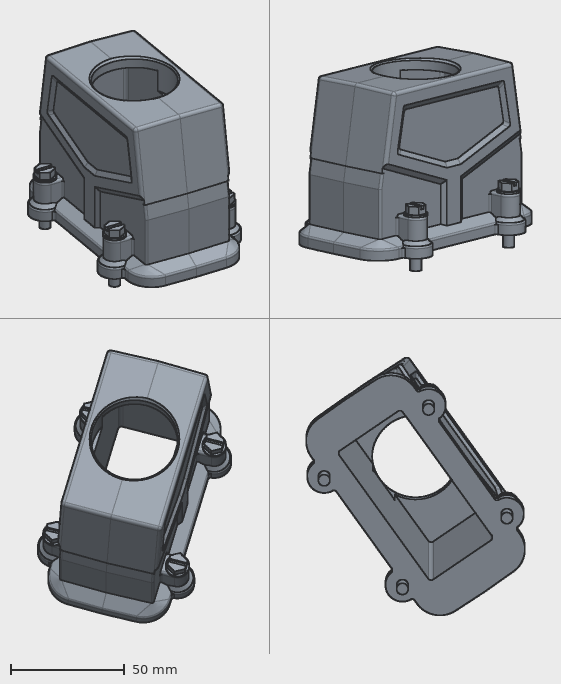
import cadquery as cq
import math

FLANGE_HALF_X = 53.2
FLANGE_HALF_Y = 27.6
OVERALL_HALF_Y = 35.52
RIDGE_Z = 74.7
END_BOW = 0.5
ROOF_FALL = 0.5

FLANGE_EDGE_Z = 5.5
FLANGE_TOP_Z = 8.7
FLANGE_CORNER_R = 12.2
FLANGE_EDGE_R = 1.1

HOOD_BASE_HALF_X = 46.6
HOOD_TOP_HALF_X = 39.1
KNEE_Z = 31.3
HOOD_HALF_Y = 23.0
HOOD_EDGE_R = 1.7
CORE_EDGE_R = 1.1

RELIEF_DEPTH = 1.5
RELIEF_FLANK = 2.5
RECESS_END_Z = 38.3
CORE_HALF_Y = HOOD_HALF_Y - RELIEF_DEPTH
RELIEF_TAPER = math.degrees(math.atan2(RELIEF_FLANK, RELIEF_DEPTH))
RIB_HALF_X = 4.5
RIB_TOP_Z = 28.5
RELIEF_OUTER_X = 55.4
RELIEF_BOTTOM_Z = -10.6
RELIEF_SLOPE = 0.366
POCKET_TOP_Z = 67.1
POCKET_TOP_HALF_X = 32.4
POCKET_WIDE_HALF_X = 36.6
POCKET_WIDE_Z = 45.9
POCKET_BOTTOM_Z = 34.1
POCKET_CORNER_R = 2.7

CAVITY_HALF_X = 35.7
CAVITY_HALF_Y = 17.0
CAVITY_TOP_Z = 69.2
CAVITY_CORNER_R = 1.6
ENTRY_R = 19.1
ENTRY_CHAMFER = 1.2
ENTRY_FLOOR_Z = 59.1

SCREW_X = 30.0
SCREW_Y = 28.0
LUG_R = OVERALL_HALF_Y - SCREW_Y
LUG_TOP_Z = 5.5
LUG_EDGE_R = 0.9
LUG_WALL_R = 1.1
CONE_BASE_R = 6.9
CONE_TOP_Z = 7.5
BOSS_R = 5.06
BOSS_TOP_Z = 18.1
BOSS_EDGE_R = 1.3
BOSS_WALL_R = 0.9
WASHER_R = 5.2
WASHER_TOP_Z = 19.0
HEAD_ACROSS_FLATS = 8.0
HEAD_TOP_Z = 22.7
SLOT_WIDTH = 1.5
SLOT_DEPTH = 1.4
SHANK_R = 2.6
SHANK_BOTTOM_Z = -6.8

SELECT_MARGIN = 0.1


def bowed_outline(half_x, half_y, corner_r=0):
    """Rectangle whose two ends come to a shallow point on the X axis."""
    corner_x = half_x - END_BOW
    points = [
        (half_x, 0),
        (corner_x, half_y),
        (-corner_x, half_y),
        (-half_x, 0),
        (-corner_x, -half_y),
        (corner_x, -half_y),
        (half_x, 0),
    ]
    outline = cq.Sketch().polygon(points)
    if corner_r:
        outline = outline.vertices(">Y or <Y").fillet(corner_r)
    return outline


def bowed_loft(lower, upper, z_low, z_high):
    raised = upper.moved(cq.Location(cq.Vector(0, 0, z_high - z_low)))
    return cq.Workplane().workplane(offset=z_low).placeSketch(lower, raised).loft(ruled=True)


def flange():
    """Slab with a rounded rim, topped by a slope that rises to the hood wall."""
    edge = bowed_outline(FLANGE_HALF_X, FLANGE_HALF_Y, FLANGE_CORNER_R)
    slab = cq.Workplane().placeSketch(edge).extrude(FLANGE_EDGE_Z)
    slab = slab.faces(">Z").edges().fillet(FLANGE_EDGE_R)

    slope_angle = math.atan2(FLANGE_TOP_Z - FLANGE_EDGE_Z, FLANGE_HALF_Y - CORE_HALF_Y)
    inset = FLANGE_EDGE_R * (1 - math.sin(slope_angle))
    foot_z = FLANGE_EDGE_Z - FLANGE_EDGE_R * (1 - math.cos(slope_angle))
    foot = bowed_outline(FLANGE_HALF_X - inset, FLANGE_HALF_Y - inset, FLANGE_CORNER_R - inset)
    crest = bowed_outline(HOOD_BASE_HALF_X, CORE_HALF_Y, CORE_EDGE_R)
    return slab.union(bowed_loft(foot, crest, foot_z, FLANGE_TOP_Z))


def hood_shell():
    """Upright lower part, leaning upper part and ridged roof, with rounded edges."""
    base = bowed_outline(HOOD_BASE_HALF_X, HOOD_HALF_Y)
    top = bowed_outline(HOOD_TOP_HALF_X, HOOD_HALF_Y)
    block = cq.Workplane().placeSketch(base).extrude(KNEE_Z)
    block = block.union(bowed_loft(base, top, KNEE_Z, RIDGE_Z))
    eave_z = RIDGE_Z - ROOF_FALL
    gable = [
        (-HOOD_HALF_Y, 0),
        (HOOD_HALF_Y, 0),
        (HOOD_HALF_Y, eave_z),
        (0, RIDGE_Z),
        (-HOOD_HALF_Y, eave_z),
    ]
    block = block.intersect(cq.Workplane("YZ").polyline(gable).close().extrude(FLANGE_HALF_X, both=True))
    roof_rim = cq.selectors.BoxSelector(
        (-FLANGE_HALF_X, -FLANGE_HALF_Y, eave_z - SELECT_MARGIN),
        (FLANGE_HALF_X, FLANGE_HALF_Y, RIDGE_Z - SELECT_MARGIN),
    )
    uprights = cq.selectors.StringSyntaxSelector("(>Y or <Y) and (not |X)")
    return block.edges(roof_rim + uprights).fillet(HOOD_EDGE_R)


def on_both_sides(cutter):
    return cutter.union(cutter.mirror("XZ"))


def side_recesses():
    """Sloped-flank recesses below the raised panel, either side of the centre rib."""
    shoulder_z = RIB_TOP_Z + RELIEF_SLOPE * (RELIEF_OUTER_X - RIB_HALF_X)
    right = [
        (RIB_HALF_X, RELIEF_BOTTOM_Z),
        (RELIEF_OUTER_X, RELIEF_BOTTOM_Z),
        (RELIEF_OUTER_X, shoulder_z),
        (RIB_HALF_X, RIB_TOP_Z),
    ]
    plane = cq.Workplane("XZ", origin=(0, -HOOD_HALF_Y, 0))
    recess = plane.polyline(right).close().extrude(-RELIEF_DEPTH, taper=RELIEF_TAPER)
    return on_both_sides(recess.union(recess.mirror("YZ")))


def panel_pockets():
    half = [
        (POCKET_TOP_HALF_X, POCKET_TOP_Z),
        (POCKET_WIDE_HALF_X, POCKET_WIDE_Z),
        (RIB_HALF_X, POCKET_BOTTOM_Z),
    ]
    points = half + [(-x, z) for x, z in reversed(half)]
    plane = cq.Workplane("XZ", origin=(0, -HOOD_HALF_Y, 0))
    pocket = plane.polyline(points).close().extrude(-RELIEF_DEPTH, taper=RELIEF_TAPER)
    flank_corners = cq.selectors.BoxSelector(
        (-FLANGE_HALF_X, -HOOD_HALF_Y + SELECT_MARGIN, POCKET_BOTTOM_Z + RELIEF_FLANK),
        (FLANGE_HALF_X, -CORE_HALF_Y - SELECT_MARGIN, POCKET_TOP_Z),
    )
    return on_both_sides(pocket.edges(flank_corners).fillet(POCKET_CORNER_R))


def recess_end_trim():
    """Waste outside the tighter corners that the hood has where the recesses run out."""
    base = bowed_outline(HOOD_BASE_HALF_X, CORE_HALF_Y)
    lean = (HOOD_BASE_HALF_X - HOOD_TOP_HALF_X) / (RIDGE_Z - KNEE_Z)
    top = bowed_outline(HOOD_BASE_HALF_X - lean * (RECESS_END_Z - KNEE_Z), CORE_HALF_Y)
    core = cq.Workplane().placeSketch(base).extrude(KNEE_Z)
    core = core.union(bowed_loft(base, top, KNEE_Z, RECESS_END_Z))
    core = core.edges("(>Y or <Y) and (not |X)").fillet(CORE_EDGE_R)
    surround = (
        cq.Workplane()
        .rect(2 * FLANGE_HALF_X, 2 * FLANGE_HALF_Y)
        .extrude(RECESS_END_Z)
        .cut(cq.Workplane().rect(2 * HOOD_TOP_HALF_X, 2 * FLANGE_HALF_Y).extrude(RECESS_END_Z))
    )
    return surround.cut(core)


def hood():
    return hood_shell().cut(side_recesses()).cut(recess_end_trim()).cut(panel_pockets())


def interior():
    cavity = (
        cq.Workplane()
        .rect(2 * CAVITY_HALF_X, 2 * CAVITY_HALF_Y)
        .extrude(CAVITY_TOP_Z)
        .edges("|Z")
        .fillet(CAVITY_CORNER_R)
    )
    entry = cq.Workplane().workplane(offset=ENTRY_FLOOR_Z).circle(ENTRY_R).extrude(RIDGE_Z - ENTRY_FLOOR_Z)
    mouth = (
        cq.Workplane()
        .workplane(offset=RIDGE_Z - ENTRY_CHAMFER)
        .circle(ENTRY_R)
        .workplane(offset=ENTRY_CHAMFER)
        .circle(ENTRY_R + ENTRY_CHAMFER)
        .loft()
    )
    return cavity.union(entry).union(mouth)


def cylinder(radius, z_low, z_high):
    return cq.Workplane().workplane(offset=z_low).circle(radius).extrude(z_high - z_low)


def flare(half_width, blend_r, wall_y, height):
    """Concave blends that widen a projection where it meets a wall facing +Y."""
    return (
        cq.Workplane()
        .moveTo(-half_width - blend_r, wall_y)
        .lineTo(half_width + blend_r, wall_y)
        .radiusArc((half_width, wall_y + blend_r), blend_r)
        .lineTo(-half_width, wall_y + blend_r)
        .radiusArc((-half_width - blend_r, wall_y), blend_r)
        .close()
        .extrude(height)
    )


def lug_and_boss():
    """Mounting lug and boss on the Z axis; the hood wall lies toward -Y."""
    lug = cylinder(LUG_R, 0, LUG_TOP_Z).faces(">Z").edges().fillet(LUG_EDGE_R)
    cone = (
        cq.Workplane()
        .workplane(offset=LUG_TOP_Z - LUG_EDGE_R)
        .circle(CONE_BASE_R + LUG_EDGE_R)
        .workplane(offset=CONE_TOP_Z - LUG_TOP_Z + LUG_EDGE_R)
        .circle(BOSS_R)
        .loft()
        .intersect(cylinder(CONE_BASE_R, 0, CONE_TOP_Z))
    )
    wall_y = CORE_HALF_Y - SCREW_Y
    boss = (
        cq.Workplane()
        .moveTo(BOSS_R, wall_y)
        .lineTo(BOSS_R, 0)
        .threePointArc((0, BOSS_R), (-BOSS_R, 0))
        .lineTo(-BOSS_R, wall_y)
        .close()
        .extrude(BOSS_TOP_Z)
        .faces(">Z")
        .edges("not <Y")
        .fillet(BOSS_EDGE_R)
    )
    boss_flare = flare(BOSS_R, BOSS_WALL_R, wall_y, BOSS_TOP_Z - BOSS_EDGE_R)
    lug_flare = flare(LUG_R, LUG_WALL_R, FLANGE_HALF_Y - SCREW_Y, FLANGE_EDGE_Z - FLANGE_EDGE_R)
    return lug.union(cone).union(boss).union(boss_flare).union(lug_flare)


def screw():
    corner_diameter = HEAD_ACROSS_FLATS / math.cos(math.pi / 6)
    head = (
        cq.Workplane()
        .workplane(offset=WASHER_TOP_Z)
        .polygon(6, corner_diameter)
        .extrude(HEAD_TOP_Z - WASHER_TOP_Z)
    )
    slot = (
        cq.Workplane()
        .workplane(offset=HEAD_TOP_Z - SLOT_DEPTH)
        .rect(SLOT_WIDTH, 2 * HEAD_ACROSS_FLATS)
        .extrude(SLOT_DEPTH)
    )
    washer = cylinder(WASHER_R, BOSS_TOP_Z, WASHER_TOP_Z)
    shank = cylinder(SHANK_R, SHANK_BOTTOM_Z, BOSS_TOP_Z)
    return head.cut(slot).union(washer).union(shank)


result = flange().union(hood())
fixing = lug_and_boss().union(screw()).translate((SCREW_X, SCREW_Y, 0))
for mirrored in (fixing, fixing.mirror("YZ")):
    result = result.union(mirrored).union(mirrored.mirror("XZ"))
result = result.cut(interior())